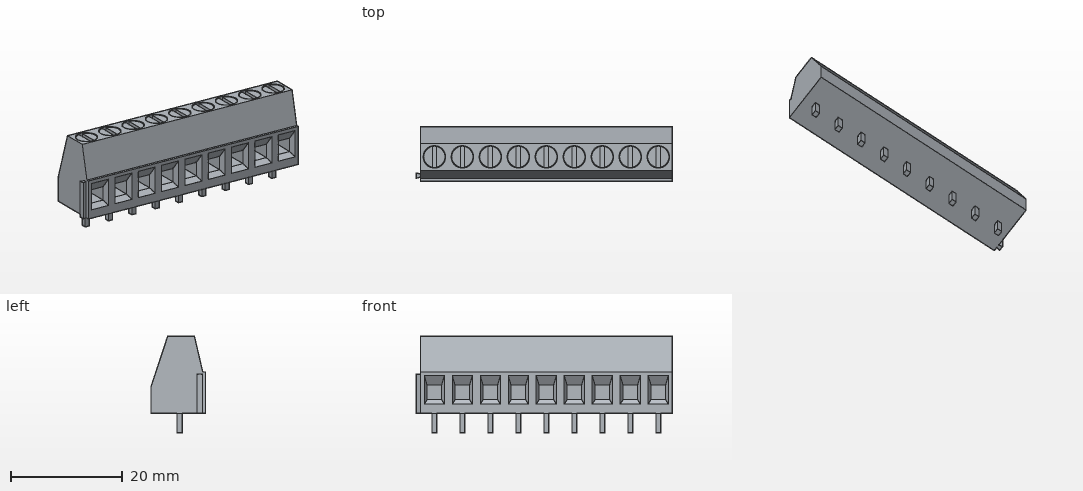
import cadquery as cq
POLES = 9
PITCH = 5.0
BODY_LENGTH = POLES * PITCH

BODY_DEPTH = 9.8
BODY_HEIGHT = 13.8
SHELF_HEIGHT = 7.4
SHELF_DEPTH = 0.5
BACK_WALL_HEIGHT = 4.7
TOP_FRONT_Y = 2.0
TOP_BACK_Y = 6.8

SCREW_Y = (TOP_FRONT_Y + TOP_BACK_Y) / 2
SCREW_HOLE_DIAMETER = 4.0
SCREW_DIAMETER = 3.8
SCREW_HOLE_DEPTH = 1.5
SCREW_RECESS = 0.1
SLOT_WIDTH = 0.75
SLOT_DEPTH = 0.8

ENTRY_WIDTH = 3.6
ENTRY_BOTTOM = 1.65
ENTRY_TOP = 6.75
HOLE_SIDE = 2.6
HOLE_CENTER_Z = 3.75
FUNNEL_DEPTH = 1.0
HOLE_DEPTH = 8.0

PIN_WIDTH = 0.9
PIN_THICKNESS = 1.0
PIN_LENGTH = 3.5
PIN_Y = 4.65

RIB_PROJECTION = 0.74
RIB_HEIGHT = 7.0
RIB_Y = 1.05
RIB_OUTER_WIDTH = 1.0
RIB_ROOT_WIDTH = 0.6


def make_housing():
    profile = [
        (0, 0),
        (BODY_DEPTH, 0),
        (BODY_DEPTH, BACK_WALL_HEIGHT),
        (TOP_BACK_Y, BODY_HEIGHT),
        (TOP_FRONT_Y, BODY_HEIGHT),
        (SHELF_DEPTH, SHELF_HEIGHT),
        (0, SHELF_HEIGHT),
    ]
    return cq.Workplane("YZ").polyline(profile).close().extrude(BODY_LENGTH)


def make_rib():
    outline = [
        (0, RIB_Y - RIB_ROOT_WIDTH / 2),
        (-RIB_PROJECTION, RIB_Y - RIB_OUTER_WIDTH / 2),
        (-RIB_PROJECTION, RIB_Y + RIB_OUTER_WIDTH / 2),
        (0, RIB_Y + RIB_ROOT_WIDTH / 2),
    ]
    return cq.Workplane("XY").polyline(outline).close().extrude(RIB_HEIGHT)


def make_wire_entry(x):
    entry_height = ENTRY_TOP - ENTRY_BOTTOM
    entry_center_z = (ENTRY_TOP + ENTRY_BOTTOM) / 2
    funnel = (
        cq.Workplane("XZ")
        .center(x, entry_center_z)
        .rect(ENTRY_WIDTH, entry_height)
        .workplane(offset=-FUNNEL_DEPTH)
        .center(0, HOLE_CENTER_Z - entry_center_z)
        .rect(HOLE_SIDE, HOLE_SIDE)
        .loft(ruled=True)
    )
    hole = (
        cq.Workplane("XZ", origin=(x, FUNNEL_DEPTH, HOLE_CENTER_Z))
        .rect(HOLE_SIDE, HOLE_SIDE)
        .extrude(FUNNEL_DEPTH - HOLE_DEPTH)
    )
    return funnel.union(hole)


def make_screw_hole(x):
    return (
        cq.Workplane("XY", origin=(x, SCREW_Y, BODY_HEIGHT))
        .circle(SCREW_HOLE_DIAMETER / 2)
        .extrude(-SCREW_HOLE_DEPTH)
    )


def make_screw(x):
    head_z = BODY_HEIGHT - SCREW_RECESS
    head = (
        cq.Workplane("XY", origin=(x, SCREW_Y, BODY_HEIGHT - SCREW_HOLE_DEPTH))
        .circle(SCREW_DIAMETER / 2)
        .extrude(SCREW_HOLE_DEPTH - SCREW_RECESS)
    )
    slot = (
        cq.Workplane("XY", origin=(x, SCREW_Y, head_z))
        .rect(SLOT_WIDTH, SCREW_HOLE_DIAMETER)
        .extrude(-SLOT_DEPTH)
    )
    return head.cut(slot)


def make_pin(x):
    return (
        cq.Workplane("XY", origin=(x, PIN_Y, 0))
        .rect(PIN_WIDTH, PIN_THICKNESS)
        .extrude(-PIN_LENGTH)
    )


result = make_housing().union(make_rib())
for pole in range(POLES):
    pole_x = (pole + 0.5) * PITCH
    result = result.cut(make_wire_entry(pole_x))
    result = result.cut(make_screw_hole(pole_x))
    result = result.union(make_screw(pole_x))
    result = result.union(make_pin(pole_x))